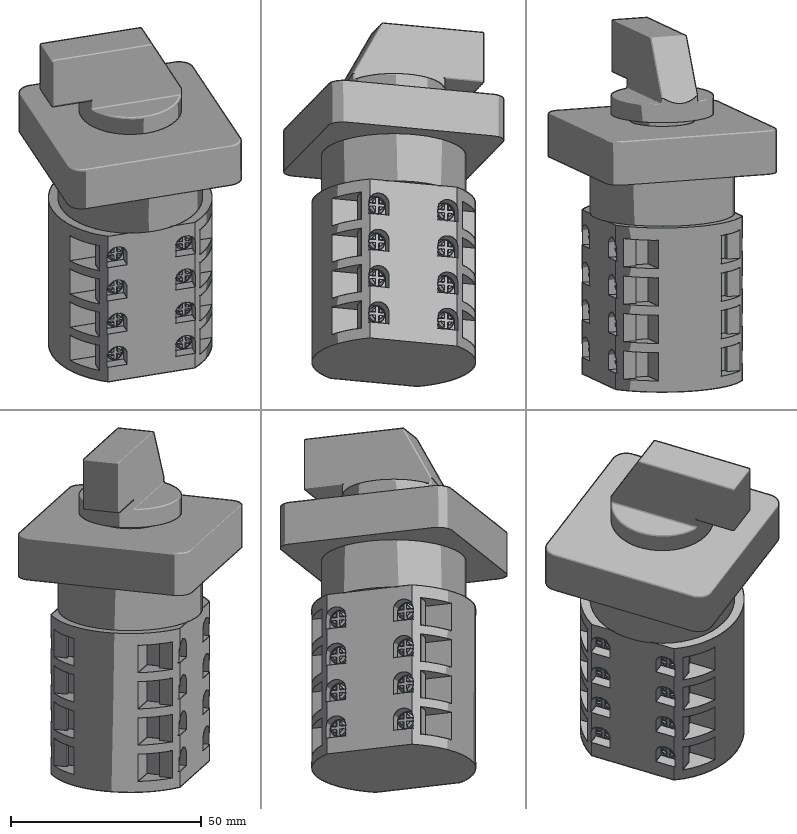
import cadquery as cq
import math

BLOCK_TOP = 44.0
PLATE_BOTTOM = 57.0
PLATE_TOP = 68.7
DISC_BOTTOM = 70.7
DISC_TOP = 75.6
GRIP_BOTTOM = 77.9
TOTAL_HEIGHT = 92.0

BLOCK_DIAMETER = 43.15
BLOCK_WIDTH = 35.9
COLLAR_DIAMETER = 38.1

PLATE_SIDE = 48.0
PLATE_CORNER_RADIUS = 4.0
EDGE_RADIUS = 0.5

NECK_DIAMETER = 17.0
DISC_DIAMETER = 27.05
GRIP_WIDTH = 10.3
GRIP_FRONT = -23.4
GRIP_TOP_BACK = 4.6

ROW_COUNT = 4
ROW_PITCH = 10.0
QUADRANTS = ((1, 1), (-1, 1), (1, -1), (-1, -1))

POCKET_BOTTOM = 3.0
POCKET_HEIGHT = 7.5
POCKET_INNER_X = 8.9
POCKET_STEP_X = 12.9
POCKET_OUTER_X = 16.5
POCKET_SHALLOW_Y = 13.9
POCKET_DEEP_Y = 12.4

BAY_RADIUS = 2.8
BAY_CENTER_Y = 9.5
BAY_BOTTOM = 4.4
BAY_HEIGHT_TO_CENTER = 3.0
BAY_DEPTH = 3.0
SCREW_RADIUS = 2.2
SCREW_HEIGHT = 1.7
SCREW_CHAMFER = 0.6
SLOT_WIDTH = 1.0
SLOT_DEPTH = 0.7

TOLERANCE = 0.01

block_radius = BLOCK_DIAMETER / 2
disc_radius = DISC_DIAMETER / 2
bay_floor_x = BLOCK_WIDTH / 2 - BAY_DEPTH


def cylinder(diameter, bottom, top):
    return cq.Workplane("XY").workplane(offset=bottom).circle(diameter / 2).extrude(top - bottom)


def box(x_range, y_range, z_range):
    """Axis-aligned box from its (low, high) limits along each axis."""
    lows, highs = zip(x_range, y_range, z_range)
    sizes = [high - low for low, high in zip(lows, highs)]
    return cq.Workplane("XY").box(*sizes, centered=False).translate(lows)


def mirrored(shape, x_side, y_side):
    """Copy a shape made at +X, +Y into the chosen quadrant."""
    if x_side < 0:
        shape = shape.mirror("YZ")
    if y_side < 0:
        shape = shape.mirror("XZ")
    return shape


def wire_pocket(row):
    """Stepped pocket that breaks out through the curved side."""
    return (
        cq.Workplane("XY")
        .workplane(offset=POCKET_BOTTOM + row * ROW_PITCH)
        .moveTo(POCKET_INNER_X, POCKET_DEEP_Y)
        .lineTo(POCKET_STEP_X, POCKET_DEEP_Y)
        .lineTo(POCKET_STEP_X, POCKET_SHALLOW_Y)
        .lineTo(POCKET_OUTER_X, POCKET_SHALLOW_Y)
        .lineTo(POCKET_OUTER_X, block_radius)
        .lineTo(POCKET_INNER_X, block_radius)
        .close()
        .extrude(POCKET_HEIGHT)
    )


def screw_bay(row):
    """Round-topped recess with the screw head left standing on its floor."""
    bottom = BAY_BOTTOM + row * ROW_PITCH
    center_z = bottom + BAY_HEIGHT_TO_CENTER
    floor = cq.Workplane("YZ", origin=(bay_floor_x, BAY_CENTER_Y, center_z))
    recess = (
        floor.moveTo(-BAY_RADIUS, -BAY_HEIGHT_TO_CENTER)
        .lineTo(BAY_RADIUS, -BAY_HEIGHT_TO_CENTER)
        .lineTo(BAY_RADIUS, 0)
        .threePointArc((0, BAY_RADIUS), (-BAY_RADIUS, 0))
        .close()
        .extrude(BAY_DEPTH)
    )
    head = floor.circle(SCREW_RADIUS).extrude(SCREW_HEIGHT).faces(">X").chamfer(SCREW_CHAMFER)
    slot_plane = floor.workplane(offset=SCREW_HEIGHT - SLOT_DEPTH)
    for length, width in ((2 * SCREW_RADIUS, SLOT_WIDTH), (SLOT_WIDTH, 2 * SCREW_RADIUS)):
        head = head.cut(slot_plane.rect(length, width).extrude(SLOT_DEPTH))
    return recess.cut(head)


def switch_block():
    block = cylinder(BLOCK_DIAMETER, 0, BLOCK_TOP)
    block = block.intersect(cq.Workplane("XY").rect(BLOCK_WIDTH, BLOCK_DIAMETER).extrude(BLOCK_TOP))
    for row in range(ROW_COUNT):
        pocket = wire_pocket(row)
        bay = screw_bay(row)
        for x_side, y_side in QUADRANTS:
            block = block.cut(mirrored(pocket, x_side, y_side))
            block = block.cut(mirrored(bay, x_side, y_side))
    return block


def front_plate():
    return (
        cq.Workplane("XY")
        .workplane(offset=PLATE_BOTTOM)
        .rect(PLATE_SIDE, PLATE_SIDE)
        .extrude(PLATE_TOP - PLATE_BOTTOM)
        .edges("|Z")
        .fillet(PLATE_CORNER_RADIUS)
        .faces(">Z")
        .edges()
        .fillet(EDGE_RADIUS)
    )


def is_rounded(edge):
    """True for the straight edges of the grip and the arcs of the disc rim."""
    limits = edge.BoundingBox()
    is_straight = edge.geomType() == "LINE"
    is_rim = edge.geomType() == "CIRCLE" and math.isclose(limits.zmax, DISC_TOP, abs_tol=TOLERANCE)
    return limits.zmin > DISC_TOP - TOLERANCE and (is_straight or is_rim)


def handle():
    """Disc with an upright grip that overhangs the front and slopes down to the rear rim."""
    half_width = GRIP_WIDTH / 2
    bar = (
        cq.Workplane("YZ")
        .moveTo(GRIP_FRONT, GRIP_BOTTOM)
        .lineTo(GRIP_FRONT, TOTAL_HEIGHT)
        .lineTo(GRIP_TOP_BACK, TOTAL_HEIGHT)
        .lineTo(disc_radius, DISC_TOP)
        .lineTo(disc_radius, DISC_BOTTOM)
        .lineTo(-disc_radius, DISC_BOTTOM)
        .lineTo(-disc_radius, GRIP_BOTTOM)
        .close()
        .extrude(half_width, both=True)
    )
    overhang_space = box((-half_width, half_width), (GRIP_FRONT, 0), (GRIP_BOTTOM, TOTAL_HEIGHT))
    envelope = cylinder(DISC_DIAMETER, DISC_BOTTOM, TOTAL_HEIGHT).union(overhang_space)
    body = bar.intersect(envelope).union(cylinder(DISC_DIAMETER, DISC_BOTTOM, DISC_TOP))
    body = body.edges().filter(is_rounded).fillet(EDGE_RADIUS)
    return body.union(cylinder(NECK_DIAMETER, PLATE_TOP, DISC_BOTTOM))


result = (
    switch_block()
    .union(cylinder(COLLAR_DIAMETER, BLOCK_TOP, PLATE_BOTTOM))
    .union(front_plate())
    .union(handle())
)